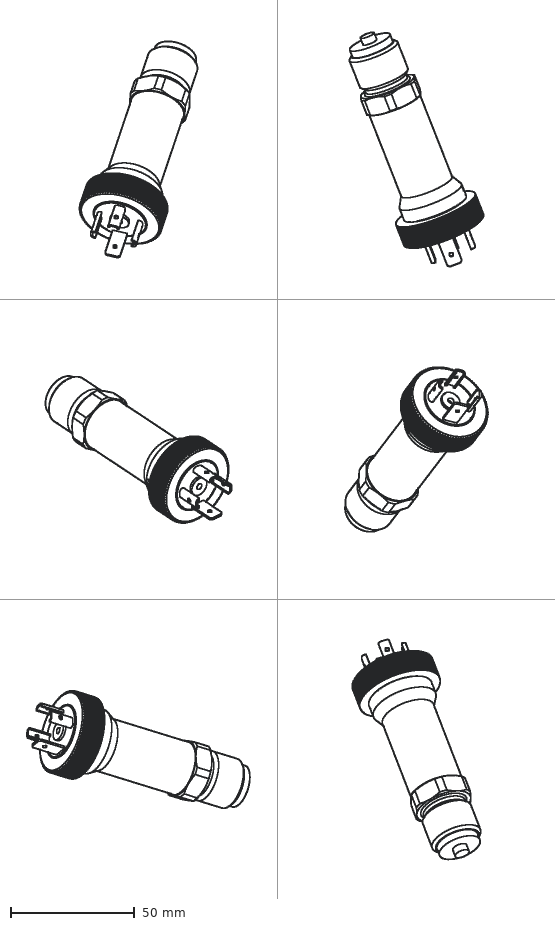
import cadquery as cq
import math

pin_start = 2.0
boss_start = 11.0
insert_start = 12.1
ring_start = 12.4
knurl_end = 21.7
ring_end = 22.3
neck_end = 22.7
shoulder_end = 28.0
tube_start = 32.4
hex_start = 69.3
hex_end = 76.8
relief_start = 77.6
thread_start = 80.7
thread_end = 92.5
pilot_start = 93.7
tip_start = 96.7
length = 99.65

tip_dia = 6.0
pilot_dia = 17.5
thread_dia = 20.9
relief_dia = 18.0
tube_dia = 22.1
shoulder_dia = 27.0
neck_dia = 25.0
ring_dia = 34.5
ring_mouth_dia = 22.5
ring_bore_dia = 22.0
insert_dia = 21.5
boss_dia = 8.0

hex_flats = 23.0
hex_corner_dia = 25.0
hex_bevel_angle = 30.0

knurl_count = 90
knurl_notch_share = 0.75
knurl_depth = 0.5
ring_bevel_width = 1.0
ring_bevel_length = 0.6
ring_mouth_depth = 0.3
ring_gap_depth = 2.0

boss_hole_dia = 2.5
boss_hole_depth = 2.0
side_hole_dia = 2.5
side_hole_depth = 1.0
side_hole_y = 26.6

contact_outer = 9.5
contact_hole_dia = 1.6
pin_hole_y = 6.3
pin_width = 4.6
pin_height = 1.9
pin_web = 0.9
pin_leg = 0.75
pin_corner = 1.5
blade_hole_y = 4.5
blade_width = 6.3
blade_thickness = 0.9
blade_corner = 0.8


def revolve_profile(stations):
    """Turn (radius, y) stations about the Y axis into a solid."""
    points = [(0, stations[0][1]), *stations, (0, stations[-1][1])]
    return cq.Workplane("XY").polyline(points).close().revolve(360, (0, 0), (0, 1))


def cross_section(y):
    """Workplane across the axis; local x and y are X and Z, extrusion runs toward -Y."""
    return cq.Workplane("XZ", origin=(0, y, 0))


def make_body():
    relief_step = (thread_dia - relief_dia) / 2
    relief_flare = relief_start - hex_end
    pilot_chamfer = pilot_start - thread_end
    return revolve_profile([
        (neck_dia / 2, ring_end),
        (neck_dia / 2, neck_end),
        (shoulder_dia / 2, neck_end),
        (shoulder_dia / 2, shoulder_end),
        (tube_dia / 2, tube_start),
        (tube_dia / 2, hex_end),
        (relief_dia / 2 + relief_flare, hex_end),
        (relief_dia / 2, relief_start),
        (relief_dia / 2, thread_start - relief_step),
        (thread_dia / 2, thread_start),
        (thread_dia / 2, thread_end),
        (thread_dia / 2 - pilot_chamfer, pilot_start),
        (pilot_dia / 2, pilot_start),
        (pilot_dia / 2, tip_start),
        (tip_dia / 2, tip_start),
        (tip_dia / 2, length),
    ])


def make_hexagon():
    """Hexagon with flats toward +X and -X, turned corners and bevelled ends."""
    corner_span = hex_flats / math.cos(math.pi / 6)
    prism = (
        cross_section(hex_end)
        .transformed(rotate=(0, 0, 30))
        .polygon(6, corner_span)
        .extrude(hex_end - hex_start)
    )
    bevel = (hex_corner_dia - hex_flats) / 2 * math.tan(math.radians(hex_bevel_angle))
    envelope = revolve_profile([
        (hex_flats / 2, hex_start),
        (hex_corner_dia / 2, hex_start + bevel),
        (hex_corner_dia / 2, hex_end - bevel),
        (hex_flats / 2, hex_end),
    ])
    return prism.intersect(envelope)


def make_ring():
    """Ring with V grooves along its rim, a plain rear flange and a bore flared at its mouth."""
    crest = ring_dia / 2
    root = crest - knurl_depth
    half_notch = knurl_notch_share / 2
    pitch = 2 * math.pi / knurl_count
    rim = []
    for tooth in range(knurl_count):
        for step, radius in ((-half_notch, crest), (0, root), (half_notch, crest)):
            angle = (tooth + step) * pitch
            rim.append((radius * math.cos(angle), radius * math.sin(angle)))
    toothed = cross_section(knurl_end).polyline(rim).close().extrude(knurl_end - ring_start)
    flange = cross_section(ring_end).circle(crest).extrude(ring_end - knurl_end)
    envelope = revolve_profile([
        (crest - ring_bevel_width, ring_start),
        (crest, ring_start + ring_bevel_length),
        (crest, ring_end),
    ])
    bore = revolve_profile([
        (ring_mouth_dia / 2, ring_start),
        (ring_bore_dia / 2, ring_start + ring_mouth_depth),
        (ring_bore_dia / 2, ring_start + ring_gap_depth),
    ])
    return toothed.intersect(envelope).union(flange).cut(bore)


def make_insert():
    """Contact carrier with a central boss and a blind hole."""
    disc = cross_section(ring_end).circle(insert_dia / 2).extrude(ring_end - insert_start)
    boss = cross_section(insert_start).circle(boss_dia / 2).extrude(insert_start - boss_start)
    hole = (
        cross_section(boss_start + boss_hole_depth)
        .circle(boss_hole_dia / 2)
        .extrude(boss_hole_depth)
    )
    return disc.union(boss).cut(hole)


def contact_hole(y):
    """Drill along Z through a contact that lies below the axis."""
    return (
        cq.Workplane("XY", origin=(0, y, -ring_dia / 2))
        .circle(contact_hole_dia / 2)
        .extrude(ring_dia / 2)
    )


def make_channel_pin():
    """Channel-shaped pin below the axis, rounded outside and open toward the axis."""
    pin_length = insert_start - pin_start
    center = pin_height / 2 - contact_outer
    outer = (
        cross_section(insert_start)
        .center(0, center)
        .rect(pin_width, pin_height)
        .extrude(pin_length)
        .edges("|Y and <Z")
        .fillet(pin_corner)
    )
    channel = (
        cross_section(insert_start)
        .center(0, center + pin_web)
        .rect(pin_width - 2 * pin_leg, pin_height)
        .extrude(pin_length)
        .edges("|Y and <Z")
        .fillet(pin_corner - pin_web)
    )
    return outer.cut(channel).cut(contact_hole(pin_hole_y))


def make_blade():
    """Flat blade below the axis with clipped tip corners."""
    blade = (
        cross_section(insert_start)
        .center(0, blade_thickness / 2 - contact_outer)
        .rect(blade_width, blade_thickness)
        .extrude(insert_start)
        .edges("|Z and <Y")
        .chamfer(blade_corner)
    )
    return blade.cut(contact_hole(blade_hole_y))


def make_side_hole():
    """Blind hole in the -X side of the shoulder."""
    return (
        cq.Workplane("YZ", origin=(-shoulder_dia / 2, side_hole_y, 0))
        .circle(side_hole_dia / 2)
        .extrude(side_hole_depth)
    )


result = (
    make_body()
    .cut(make_side_hole())
    .union(make_hexagon())
    .union(make_ring())
    .union(make_insert())
    .union(make_blade())
)
for turn in (90, 180, 270):
    result = result.union(make_channel_pin().rotate((0, 0, 0), (0, 1, 0), turn))